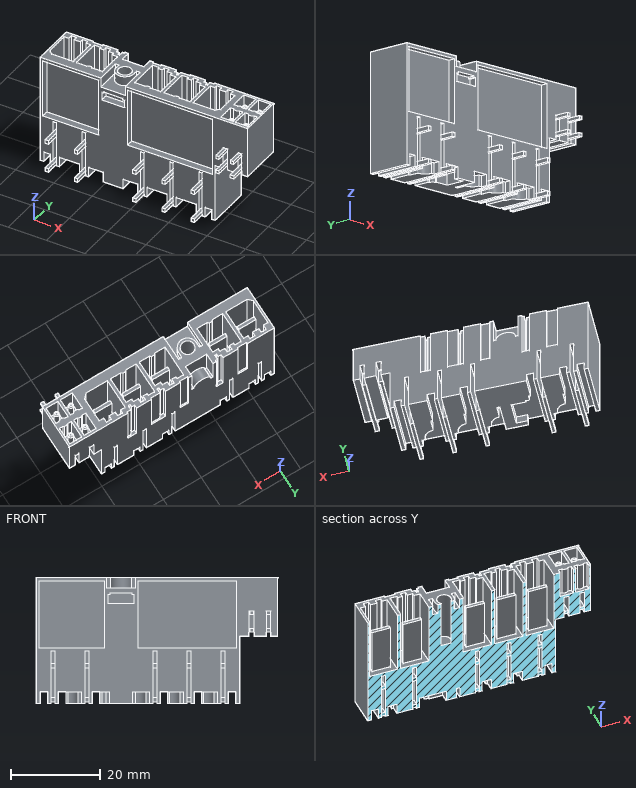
import cadquery as cq

LENGTH = 54.15
CORNER_NUB = 0.16
HEIGHT = 28.3
DEPTH = 11.45
PIN_REACH = 3.45
POWER_LENGTH = 45.7
SIGNAL_BOTTOM = 15.05

POWER_PITCH = 7.62
FIRST_POWER_X = 3.79
SCREW_POSITION = 2
POWER_POSITIONS = [0, 1, 3, 4, 5]
SIGNAL_PITCH = 3.81
FIRST_SIGNAL_X = 48.3
SIGNAL_COLUMNS = [FIRST_SIGNAL_X, FIRST_SIGNAL_X + SIGNAL_PITCH]
FRONT_ROW_Y = 2.7
BACK_ROW_Y = 8.7


def lattice_x(position):
    return FIRST_POWER_X + position * POWER_PITCH


POWER_X = [lattice_x(position) for position in POWER_POSITIONS]
SCREW_X = lattice_x(SCREW_POSITION)

POWER_PIN_WIDTH = 0.85
POWER_PIN_HEIGHT = 1.0
POWER_PIN_BOTTOMS = [0.3, 8.0]
BLADE_WIDTH = 4.5
BLADE_THICKNESS = 0.8
BLADE_Y = 5.75
BLADE_TOP = 24.0
POWER_SLOT_TOP = 11.8
POWER_FLOOR = 12.8

CAVITY_FRONT = 2.4
CAVITY_TAB_TOP = 10.75
CAVITY_MIDDLE = 9.75
INNER_HALF = 3.4
OUTER_HALF = 3.25

SIGNAL_PIN = 0.8
WIDE_SIGNAL_PIN = 0.98
POST_DIAMETER = 1.25
POST_CHAMFER = 0.3
POST_TOP = 27.1
UPPER_PIN_BOTTOM = 19.95
LOWER_PIN_BOTTOM = 16.0
SIGNAL_SLOT_TOP = UPPER_PIN_BOTTOM + SIGNAL_PIN
SIGNAL_SLOT_WIDTHS = [1.15, WIDE_SIGNAL_PIN]
LOWER_PIN_WIDTHS = [SIGNAL_PIN, WIDE_SIGNAL_PIN]
SIGNAL_FLOOR = 21.5

SIGNAL_CAVITY_WIDTH = 3.15
BACK_CAVITY_Y = (6.45, 10.8)
FRONT_CAVITY_Y = (0.75, 5.0)
KEY_HEIGHT = 0.2
KEY_BASE = 1.3
KEY_TIP = 0.6
ROUND_KEY_WIDTH = 1.5
ROUND_KEY_HEIGHT = 0.35

PANEL_DEPTH = 1.8
PANEL_BOTTOM = 12.43
PANEL_TOP = 27.5
PANELS_X = [(0.66, 15.28), (22.8, 44.95)]
LATCH_HALF = 2.95
LATCH_TOP_HALF = 2.5
LATCH_BOTTOM = 22.4
LATCH_SHOULDER = 24.4
LATCH_TOP = 24.75

NOTCH_HALF = 3.2
NOTCH_FLOOR = 25.85
NOTCH_BACK = 6.45
BOSS_Y = 5.2
BOSS_RADIUS = 2.33
SCREW_RADIUS = 1.65
SCREW_DEPTH = 12.0
NUT_POCKET_HALF = 2.8
NUT_POCKET_DEPTH = 2.66
NUT_POCKET_FLOOR = 20.0
NUT_HUMP_RADIUS = 2.25

GROOVE_BOTTOM = POWER_FLOOR
SHALLOW_DEPTH = 0.33
HOOK_DEPTH = 0.82
HOOK_TIP_DEPTH = 1.48
HOOK_START = 2.13
HOOK_TIP_START = 2.95
HOOK_TIP_END = 3.42
SHALLOW_END = 5.8
HOOKS = [(1, 3.9), (3, SHALLOW_END), (4, 4.43)]
SHALLOW_GROOVES = [(0, 3.33), (SCREW_POSITION, 3.7)]

FOOT_HEIGHT = 2.6
FOOT_HALF = 1.2
CHANNEL_END = 2.85
SIDE_POCKET_END = 3.6
SIDE_POCKET_RADIUS = 0.3
SIDE_POCKET_DROP = 1.0
FOOT_DEPTH = 1.5
SCREW_FOOT_DEPTH = 1.1
DEEP_POCKET_DEPTH = 6.0
LEDGE_END = 4.25
LEDGE_DEPTH = 6.3
SCALLOP_RADIUS = 2.0
SCALLOP_POSITIONS = [0, SCREW_POSITION, 3, 4]
SCREW_FOOT_HALF = 2.6


def box(x_range, y_range, z_range):
    """Axis-parallel block between the given limits."""
    lengths = [high - low for low, high in (x_range, y_range, z_range)]
    corner = (x_range[0], y_range[0], z_range[0])
    return cq.Workplane("XY").box(*lengths, centered=False).translate(corner)


def around(centre, width):
    return (centre - width / 2, centre + width / 2)


def prism(points, bottom, top):
    return cq.Workplane("XY").polyline(points).close().extrude(top - bottom).translate((0, 0, bottom))


def cylinder(x, y, radius, bottom, top):
    return cq.Workplane("XY").circle(radius).extrude(top - bottom).translate((x, y, bottom))


def housing_block():
    full_part = box((0, POWER_LENGTH), (0, DEPTH), (0, HEIGHT))
    signal_part = box((POWER_LENGTH, LENGTH), (0, DEPTH), (SIGNAL_BOTTOM, HEIGHT))
    nub = box(
        (LENGTH, LENGTH + CORNER_NUB), (DEPTH - CORNER_NUB, DEPTH), (HEIGHT - CORNER_NUB, HEIGHT)
    )
    return full_part.union(signal_part).union(nub)


def end_cavity(x, outward):
    """Cavity with two back tabs and one chamfered corner; outward is the side of the chamfer."""
    outer_back = 9.6
    inner_back = 9.95
    chamfer = 1.0
    inner_tab = (0.9, 2.2)
    outer_tab = (-2.05, -0.75)
    outline = [
        (INNER_HALF, CAVITY_FRONT),
        (INNER_HALF, inner_back),
        (inner_tab[1], inner_back),
        (inner_tab[1], CAVITY_TAB_TOP),
        (inner_tab[0], CAVITY_TAB_TOP),
        (inner_tab[0], CAVITY_MIDDLE),
        (outer_tab[1], CAVITY_MIDDLE),
        (outer_tab[1], CAVITY_TAB_TOP),
        (outer_tab[0], CAVITY_TAB_TOP),
        (outer_tab[0], outer_back),
        (-OUTER_HALF, outer_back),
        (-OUTER_HALF, CAVITY_FRONT + chamfer),
        (-OUTER_HALF + chamfer, CAVITY_FRONT),
    ]
    points = [(x - outward * offset, y) for offset, y in outline]
    return prism(points, POWER_FLOOR, HEIGHT)


def middle_cavity(x):
    """Cavity with one back tab and a small key on its front wall."""
    left_back = 10.25
    right_back = 9.05
    left_shoulder = -1.7
    right_shoulder = 1.9
    tab_half = 0.6
    key_base_half = 0.7
    key_tip_half = 0.35
    key_height = 0.33
    key_top = CAVITY_FRONT + key_height
    outline = [
        (-INNER_HALF, CAVITY_FRONT),
        (-INNER_HALF, left_back),
        (left_shoulder, left_back),
        (left_shoulder, CAVITY_MIDDLE),
        (-tab_half, CAVITY_MIDDLE),
        (-tab_half, CAVITY_TAB_TOP),
        (tab_half, CAVITY_TAB_TOP),
        (tab_half, CAVITY_MIDDLE),
        (right_shoulder, CAVITY_MIDDLE),
        (right_shoulder, right_back),
        (INNER_HALF, right_back),
        (INNER_HALF, CAVITY_FRONT),
        (key_base_half, CAVITY_FRONT),
        (key_tip_half, key_top),
        (-key_tip_half, key_top),
        (-key_base_half, CAVITY_FRONT),
    ]
    return prism([(x + offset, y) for offset, y in outline], POWER_FLOOR, HEIGHT)


def power_passage(x):
    """Slot for the stem and pins, and the hole for the blade through the cavity floor."""
    slot = box(around(x, POWER_PIN_WIDTH), (0, DEPTH), (0, POWER_SLOT_TOP))
    blade_hole = box(
        around(x, BLADE_WIDTH), around(BLADE_Y, BLADE_THICKNESS), (POWER_SLOT_TOP, POWER_FLOOR)
    )
    return slot.union(blade_hole)


def back_row_cavity(x):
    """Signal cavity with a flat key on its front wall."""
    half = SIGNAL_CAVITY_WIDTH / 2
    front, back = BACK_CAVITY_Y
    points = [
        (x - half, front),
        (x - half, back),
        (x + half, back),
        (x + half, front),
        (x + KEY_BASE / 2, front),
        (x + KEY_TIP / 2, front + KEY_HEIGHT),
        (x - KEY_TIP / 2, front + KEY_HEIGHT),
        (x - KEY_BASE / 2, front),
    ]
    return prism(points, SIGNAL_FLOOR, HEIGHT)


def front_row_cavity(x):
    """Signal cavity with a rounded key on its back wall."""
    half = SIGNAL_CAVITY_WIDTH / 2
    front, back = FRONT_CAVITY_Y
    outline = (
        cq.Workplane("XY", origin=(0, 0, SIGNAL_FLOOR))
        .moveTo(x - half, front)
        .lineTo(x - half, back)
        .lineTo(x - ROUND_KEY_WIDTH / 2, back)
        .threePointArc((x, back - ROUND_KEY_HEIGHT), (x + ROUND_KEY_WIDTH / 2, back))
        .lineTo(x + half, back)
        .lineTo(x + half, front)
        .close()
    )
    return outline.extrude(HEIGHT - SIGNAL_FLOOR)


def signal_passage(x, slot_width):
    """Slot for both contacts of a column, and the post holes through the cavity floors."""
    passage = box(around(x, slot_width), (0, DEPTH), (SIGNAL_BOTTOM, SIGNAL_SLOT_TOP))
    for y in (FRONT_ROW_Y, BACK_ROW_Y):
        passage = passage.union(cylinder(x, y, POST_DIAMETER / 2, SIGNAL_SLOT_TOP, SIGNAL_FLOOR))
    return passage


def latch_recess():
    lower = box(around(SCREW_X, 2 * LATCH_HALF), (0, PANEL_DEPTH), (LATCH_BOTTOM, LATCH_SHOULDER))
    upper = box(around(SCREW_X, 2 * LATCH_TOP_HALF), (0, PANEL_DEPTH), (LATCH_SHOULDER, LATCH_TOP))
    return lower.union(upper)


def screw_notch():
    """Step in the top face that leaves a rounded boss standing, and the screw hole in the boss."""
    notch = box(around(SCREW_X, 2 * NOTCH_HALF), (0, NOTCH_BACK), (NOTCH_FLOOR, HEIGHT))
    boss_neck = box(around(SCREW_X, 2 * BOSS_RADIUS), (BOSS_Y, NOTCH_BACK), (NOTCH_FLOOR, HEIGHT))
    boss_nose = cylinder(SCREW_X, BOSS_Y, BOSS_RADIUS, NOTCH_FLOOR, HEIGHT)
    screw_hole = cylinder(SCREW_X, BOSS_Y, SCREW_RADIUS, HEIGHT - SCREW_DEPTH, HEIGHT)
    return notch.cut(boss_neck).cut(boss_nose).union(screw_hole)


def nut_pocket():
    """Pocket open at the back and top, with a half-round hump along its floor."""
    pocket = box(
        around(SCREW_X, 2 * NUT_POCKET_HALF), (DEPTH - NUT_POCKET_DEPTH, DEPTH), (NUT_POCKET_FLOOR, HEIGHT)
    )
    hump = (
        cq.Workplane("XZ", origin=(SCREW_X, DEPTH, NUT_POCKET_FLOOR))
        .circle(NUT_HUMP_RADIUS)
        .extrude(NUT_POCKET_DEPTH)
    )
    return pocket.cut(hump)


def back_groove(start, end, depth):
    return box((start, end), (DEPTH - depth, DEPTH), (GROOVE_BOTTOM, HEIGHT))


def hook_groove(x, shallow_end):
    """Hook-shaped groove followed by a shallow recess."""
    hook = back_groove(x + HOOK_START, x + HOOK_TIP_END, HOOK_DEPTH)
    tip = back_groove(x + HOOK_TIP_START, x + HOOK_TIP_END, HOOK_TIP_DEPTH)
    shallow = back_groove(x + HOOK_TIP_END, x + shallow_end, SHALLOW_DEPTH)
    return hook.union(tip).union(shallow)


def channel(x, start, end):
    """Channel that runs through the underside from front to back."""
    return box((x + start, x + end), (0, DEPTH), (0, FOOT_HEIGHT))


def scallop(position):
    """Quarter-round hollow in the wall behind the feet."""
    x = lattice_x(position) + SIDE_POCKET_END
    round_hollow = cylinder(x, FOOT_DEPTH, SCALLOP_RADIUS, 0, FOOT_HEIGHT)
    right_side = box((x, x + SCALLOP_RADIUS), (0, DEPTH), (0, FOOT_HEIGHT))
    return round_hollow.intersect(right_side)


def side_pocket(position, wall_y, depth):
    """Narrow deep pocket beside a channel; its far wall starts at wall_y with a rounded edge."""
    x = lattice_x(position)
    edge_x = x + SIDE_POCKET_END
    edge_y = wall_y + SIDE_POCKET_RADIUS
    deep = box((x + SCREW_FOOT_HALF, edge_x), (FOOT_DEPTH, depth), (0, FOOT_HEIGHT))
    wall = box((edge_x - SIDE_POCKET_RADIUS, edge_x), (edge_y, depth), (0, FOOT_HEIGHT))
    rounding = cylinder(edge_x, edge_y, SIDE_POCKET_RADIUS, 0, FOOT_HEIGHT)
    return deep.cut(wall).cut(rounding)


def screw_foot_pocket():
    """Deep pocket that continues behind the thin screw foot, stepped at its far wall."""
    position = SCREW_POSITION - 1
    x = lattice_x(position)
    pocket = box((x + CHANNEL_END, SCREW_X), (SCREW_FOOT_DEPTH, DEEP_POCKET_DEPTH), (0, FOOT_HEIGHT))
    ledge = box((x + SIDE_POCKET_END, x + LEDGE_END), (SCREW_FOOT_DEPTH, LEDGE_DEPTH), (0, FOOT_HEIGHT))
    corner = side_pocket(position, LEDGE_DEPTH, LEDGE_DEPTH + SIDE_POCKET_DROP)
    return pocket.union(ledge).union(corner)


def make_housing():
    body = housing_block()

    body = body.cut(end_cavity(POWER_X[0], -1))
    body = body.cut(end_cavity(POWER_X[-1], 1))
    for x in POWER_X[1:-1]:
        body = body.cut(middle_cavity(x))
    for x in POWER_X:
        body = body.cut(power_passage(x))

    for x, slot_width in zip(SIGNAL_COLUMNS, SIGNAL_SLOT_WIDTHS):
        body = body.cut(back_row_cavity(x))
        body = body.cut(front_row_cavity(x))
        body = body.cut(signal_passage(x, slot_width))

    for panel_x in PANELS_X:
        body = body.cut(box(panel_x, (0, PANEL_DEPTH), (PANEL_BOTTOM, PANEL_TOP)))
    body = body.cut(latch_recess()).cut(screw_notch()).cut(nut_pocket())

    for position, shallow_end in HOOKS:
        body = body.cut(hook_groove(lattice_x(position), shallow_end))
    for position, start in SHALLOW_GROOVES:
        x = lattice_x(position)
        body = body.cut(back_groove(x + start, x + SHALLOW_END, SHALLOW_DEPTH))

    body = body.cut(channel(POWER_X[0], -CHANNEL_END, -FOOT_HALF))
    for x in POWER_X:
        body = body.cut(channel(x, FOOT_HALF, CHANNEL_END))

    feet = [(lattice_x(position), FOOT_HALF) for position in POWER_POSITIONS]
    feet.insert(SCREW_POSITION, (SCREW_X, SCREW_FOOT_HALF))
    for (left_x, left_half), (right_x, right_half) in zip(feet, feet[1:]):
        gap = (left_x + left_half, right_x - right_half)
        body = body.cut(box(gap, (0, FOOT_DEPTH), (0, FOOT_HEIGHT)))

    for position in SCALLOP_POSITIONS:
        body = body.cut(scallop(position))
        body = body.cut(side_pocket(position, FOOT_DEPTH + SCALLOP_RADIUS, DEEP_POCKET_DEPTH))
    body = body.cut(screw_foot_pocket())
    return body


def make_power_contact(x):
    """Flat blade on a narrow stem with two solder pins."""
    stem_y = around(BLADE_Y, BLADE_THICKNESS)
    width = around(x, POWER_PIN_WIDTH)
    contact = box(around(x, BLADE_WIDTH), stem_y, (POWER_SLOT_TOP, BLADE_TOP))
    contact = contact.union(box(width, stem_y, (POWER_PIN_BOTTOMS[0], POWER_SLOT_TOP)))
    for bottom in POWER_PIN_BOTTOMS:
        pin = box(width, (-PIN_REACH, BLADE_Y), (bottom, bottom + POWER_PIN_HEIGHT))
        contact = contact.union(pin)
    return contact


def make_signal_contact(x, y, pin_bottom, pin_width, stem_width):
    """Round post that bends into one solder pin."""
    post = cylinder(x, y, POST_DIAMETER / 2, SIGNAL_SLOT_TOP, POST_TOP)
    post = post.faces(">Z").chamfer(POST_CHAMFER)
    stem = box(around(x, stem_width), around(y, SIGNAL_PIN), (pin_bottom, SIGNAL_SLOT_TOP))
    pin = box(around(x, pin_width), (-PIN_REACH, y), (pin_bottom, pin_bottom + SIGNAL_PIN))
    return post.union(stem).union(pin)


housing = make_housing()
power_contacts = [make_power_contact(x) for x in POWER_X]
front_signal_contacts = [
    make_signal_contact(x, FRONT_ROW_Y, UPPER_PIN_BOTTOM, SIGNAL_PIN, slot_width)
    for x, slot_width in zip(SIGNAL_COLUMNS, SIGNAL_SLOT_WIDTHS)
]
back_signal_contacts = [
    make_signal_contact(x, BACK_ROW_Y, LOWER_PIN_BOTTOM, pin_width, slot_width)
    for x, pin_width, slot_width in zip(SIGNAL_COLUMNS, LOWER_PIN_WIDTHS, SIGNAL_SLOT_WIDTHS)
]

contacts = power_contacts + front_signal_contacts + back_signal_contacts
result = cq.Compound.makeCompound([housing.val()] + [contact.val() for contact in contacts])